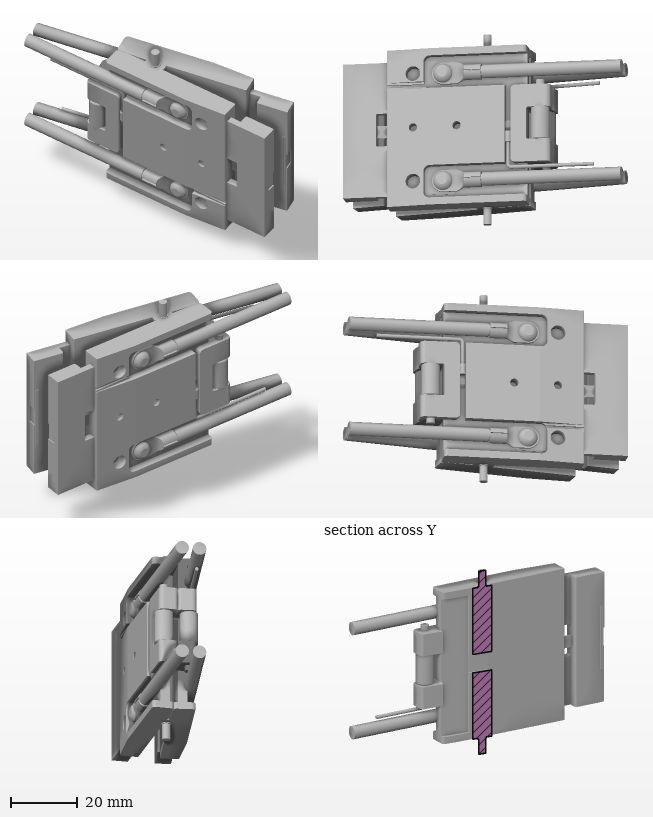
import cadquery as cq
import math


OPEN_ANGLE = 5.0
SIN = math.sin(math.radians(OPEN_ANGLE))
COS = math.cos(math.radians(OPEN_ANGLE))

HALF_THICKNESS = 9.0
CABLE_END_X = -42.15
TIP_END_X = 42.83
PIN_HALF_LENGTH = 29.1

OVERLAP = 1.0

BODY_HALF_HEIGHT = 24.0
BODY_REAR_X = -13.0
BODY_FRONT_X = 29.4
OUTER_DEPTH = 7.65
JAW_INNER_DEPTH = 0.75
HANDLE_GAP = 0.04
RELIEF_START_X = -9.0
RELIEF_END_X = -3.0
RELIEF_DEPTH = 0.6
REAR_CORNER_RADIUS = 1.1
FRONT_CORNER_RADIUS = 0.3
REAR_INNER_RADIUS = 0.9

RIM_THICKNESS = 2.2
POCKET_TOP_Z = BODY_HALF_HEIGHT - RIM_THICKNESS
PLATE_HALF_HEIGHT = 11.85
FLOOR_DEPTH = 5.2
POCKET_FRONT_X = 18.2
POCKET_RADIUS = 1.9
PAD_REAR_X = 8.7
PAD_TOP_Z = 20.5
PAD_HEIGHT = 0.15
PAD_RADIUS = 0.7

HOLLOW_HALF_WIDTH = 1.2
HOLLOW_FRONT_X = -4.0
WINDOW_HALF_WIDTH = 0.95
WINDOW_HALF_HEIGHT = 2.85

BLOCK_REAR_X = -20.1
BLOCK_FRONT_X = -8.25
BLOCK_DEPTH = 7.4
BLOCK_OUTER_RADIUS = 1.5
BLOCK_INNER_RADIUS = 1.1
BLOCK_CORNER_RADIUS = 1.3
NOTCH_HALF_HEIGHT = 4.95
NOTCH_RADIUS = 0.5
ROLLER_X = -16.85
ROLLER_DEPTH = 5.3
ROLLER_DIAMETER = 5.6
ROLLER_EDGE = 0.25
AXLE_DIAMETER = 2.6
AXLE_LOW_Z = -13.45
PLATE_REAR_X = -6.5

SMALL_HOLE_DIAMETER = 2.5
SMALL_HOLE_X = (8.1, 21.4)
LARGE_HOLE_DIAMETER = 4.5
LARGE_HOLE_X = 21.4
HOLE_BOTTOM_DEPTH = 4.0

CABLE_Z = 16.5
CABLE_DEPTH = 6.3
CABLE_DIAMETER = 4.05
CABLE_FRONT_X = 0.35
BARREL_REAR_X = 0.8
BARREL_FRONT_X = 5.9
BARREL_DEPTH = 6.17
BARREL_DIAMETER = 4.6
CORE_DIAMETER = 3.4
LUG_REAR_X = 8.3
LUG_WIDTH = 6.6
LUG_THICKNESS = 0.7
SCREW_X = 12.5
HEAD_DIAMETER = 5.7
HEAD_TOP_DIAMETER = 2.9
HEAD_HEIGHT = 1.7
HEAD_SHOULDER_RADIUS = 2.42
HEAD_SHOULDER_HEIGHT = 1.02
CRIMP_SLIT = 0.6

WIRE_DIAMETER = 1.1
WIRE_DEPTH = 6.2
WIRE_REAR_X = -33.3
WIRE_Z = 13.15
WIRE_DROP_X = -7.3
WIRE_BEND_RADIUS = 1.0
SLEEVE_TOP_Z = 5.4
SLEEVE_BOTTOM_Z = 2.15
SLEEVE_DIAMETER = 2.1
STUD_TOP_DIAMETER = 1.95
STUD_BASE_DIAMETER = 3.9
STUD_HEIGHT = 0.9

GROOVE_TOP_Z = -PLATE_HALF_HEIGHT
GROOVE_WIDTH = 2.1
GROOVE_DEPTH = 6.3
CHANNEL_WIDTH = 0.8
CHANNEL_DEPTH = 5.7

JAW_HALF_HEIGHT = 20.55
JAW_FRONT_X = 42.9
JAW_OUTER_DEPTH = 5.28
JAW_SPLIT_DEPTH = 3.25
JAW_ROOT_X = 25.0
PAD_BLOCK_REAR_X = 32.95
PAD_BLOCK_DEPTH = 0.35
PAD_BLOCK_RADIUS = 0.5
SLOT_HALF_HEIGHT = 5.0
TIP_GAP_HALF_HEIGHT = 2.85
TIP_GAP_LENGTH = 0.3
TONGUE_HALF_HEIGHT = 1.9
TONGUE_DEPTH = 2.2
TONGUE_THICKNESS = 0.4
LIP_THICKNESS = 0.35
RIDGE_X = (41.65, 42.3)
RIDGE_WIDTH = 0.2
RIDGE_HEIGHT = 0.4
RIDGE_HALF_LENGTH = 10.0

PIVOT_DIAMETER = 6.5
PIN_DIAMETER = 2.5
COLLAR_DIAMETER = 3.1
COLLAR_HEIGHT = 0.25


def box(x0, x1, depth0, depth1, z0, z1):
    """Box between two X, two depth and two Z limits."""
    block = cq.Workplane("XY").box(x1 - x0, depth1 - depth0, z1 - z0, centered=False)
    return block.translate((x0, -depth1, z0))


def face_plane(depth):
    """Sketch plane parallel to the outer face: local axes X and Z, extruding outwards."""
    return cq.Workplane("XZ", origin=(0, -depth, 0))


def rod_x(x0, x1, depth, z, diameter):
    return cq.Workplane("YZ", origin=(x0, -depth, z)).circle(diameter / 2).extrude(x1 - x0)


def rod_z(z0, z1, x, depth, diameter):
    return cq.Workplane("XY", origin=(x, -depth, z0)).circle(diameter / 2).extrude(z1 - z0)


def depth_at(x, opened_distance):
    """Depth at X of a plane lying at the given distance from the mid plane once opened."""
    return (opened_distance - x * SIN) / COS


def body_blank():
    bend_x = (HALF_THICKNESS - OUTER_DEPTH * COS) / SIN
    outline = [
        (BODY_REAR_X, OUTER_DEPTH),
        (bend_x, OUTER_DEPTH),
        (BODY_FRONT_X, depth_at(BODY_FRONT_X, HALF_THICKNESS)),
        (BODY_FRONT_X, JAW_INNER_DEPTH),
        (-RELIEF_END_X, JAW_INNER_DEPTH),
        (RELIEF_END_X, RELIEF_DEPTH),
        (RELIEF_START_X, depth_at(RELIEF_START_X, HANDLE_GAP)),
        (BODY_REAR_X, depth_at(BODY_REAR_X, HANDLE_GAP)),
    ]
    blank = (
        cq.Workplane("XY", origin=(0, 0, -BODY_HALF_HEIGHT))
        .polyline([(x, -depth) for x, depth in outline])
        .close()
        .extrude(2 * BODY_HALF_HEIGHT)
    )
    blank = blank.edges("|Z and >X").fillet(FRONT_CORNER_RADIUS)
    blank = blank.edges("|Z and <X").edges("<Y").fillet(REAR_CORNER_RADIUS)
    return blank.edges("|Z and <X").edges(">Y").fillet(REAR_INNER_RADIUS)


def handle_hollow():
    corners = [
        (BODY_REAR_X, 0),
        (HOLLOW_FRONT_X, 0),
        (HOLLOW_FRONT_X, depth_at(HOLLOW_FRONT_X, HOLLOW_HALF_WIDTH)),
        (BODY_REAR_X, depth_at(BODY_REAR_X, HOLLOW_HALF_WIDTH)),
    ]
    return (
        cq.Workplane("XY", origin=(0, 0, -POCKET_TOP_Z))
        .polyline([(x, -depth) for x, depth in corners])
        .close()
        .extrude(2 * POCKET_TOP_Z)
    )


def terminal_pocket(side):
    """Pocket open at the rear, above (side = 1) or below (side = -1) the middle plate."""
    rear_x = BODY_REAR_X - OVERLAP
    pocket = box(rear_x, POCKET_FRONT_X, FLOOR_DEPTH, HALF_THICKNESS, PLATE_HALF_HEIGHT, POCKET_TOP_Z)
    pocket = pocket.edges("|Y and >X").fillet(POCKET_RADIUS)
    pad = box(PAD_REAR_X, POCKET_FRONT_X, FLOOR_DEPTH, FLOOR_DEPTH + PAD_HEIGHT, PLATE_HALF_HEIGHT, PAD_TOP_Z)
    pad = pad.edges("|Y and <X and >Z").fillet(PAD_RADIUS)
    pocket = pocket.cut(pad)
    return pocket if side > 0 else pocket.mirror("XY")


def handle_block():
    inner_rear = depth_at(BLOCK_REAR_X, HANDLE_GAP)
    inner_front = depth_at(BODY_REAR_X, HANDLE_GAP)
    inner_hollow = depth_at(BODY_REAR_X, HOLLOW_HALF_WIDTH)
    outline = [
        (BLOCK_REAR_X, BLOCK_DEPTH),
        (BLOCK_FRONT_X, BLOCK_DEPTH),
        (BLOCK_FRONT_X, inner_hollow),
        (BODY_REAR_X, inner_hollow),
        (BODY_REAR_X, inner_front),
        (BLOCK_REAR_X, inner_rear),
    ]
    block = (
        cq.Workplane("XY", origin=(0, 0, -PLATE_HALF_HEIGHT))
        .polyline([(x, -depth) for x, depth in outline])
        .close()
        .extrude(2 * PLATE_HALF_HEIGHT)
    )
    block = block.edges("|Y and >X").fillet(BLOCK_CORNER_RADIUS)
    block = block.edges("|Z and <X").edges("<Y").fillet(BLOCK_OUTER_RADIUS)
    block = block.edges("|Z and <X").edges(">Y").fillet(BLOCK_INNER_RADIUS)
    rear_x = BLOCK_REAR_X - OVERLAP
    notch = box(rear_x, BODY_REAR_X, 0, HALF_THICKNESS, -NOTCH_HALF_HEIGHT, NOTCH_HALF_HEIGHT)
    return block.cut(notch.edges("|Y and >X").fillet(NOTCH_RADIUS))


def roller_and_axle():
    roller = rod_z(-NOTCH_HALF_HEIGHT, NOTCH_HALF_HEIGHT, ROLLER_X, ROLLER_DEPTH, ROLLER_DIAMETER)
    roller = roller.faces("|Z").edges().chamfer(ROLLER_EDGE)
    return roller.union(rod_z(AXLE_LOW_Z, PLATE_HALF_HEIGHT, ROLLER_X, ROLLER_DEPTH, AXLE_DIAMETER))


def outer_face_holes():
    hole_length = HALF_THICKNESS - HOLE_BOTTOM_DEPTH
    small = (
        face_plane(HOLE_BOTTOM_DEPTH)
        .pushPoints([(x, 0) for x in SMALL_HOLE_X])
        .circle(SMALL_HOLE_DIAMETER / 2)
        .extrude(hole_length)
    )
    large = (
        face_plane(HOLE_BOTTOM_DEPTH)
        .pushPoints([(LARGE_HOLE_X, CABLE_Z), (LARGE_HOLE_X, -CABLE_Z)])
        .circle(LARGE_HOLE_DIAMETER / 2)
        .extrude(hole_length)
    )
    return small.union(large)


def jaw_groove():
    """Stepped groove from the lower pocket to the front end of the body."""
    center_z = GROOVE_TOP_Z - GROOVE_WIDTH / 2
    rear_x = POCKET_FRONT_X - POCKET_RADIUS
    steps = ((GROOVE_WIDTH, GROOVE_DEPTH), (CHANNEL_WIDTH, CHANNEL_DEPTH))
    groove = cq.Workplane("XY")
    for width, depth in steps:
        groove = groove.union(
            box(rear_x, BODY_FRONT_X, depth, HALF_THICKNESS, center_z - width / 2, center_z + width / 2)
        )
    return groove


def body():
    part = body_blank().cut(handle_hollow())
    for side in (1, -1):
        part = part.cut(terminal_pocket(side))
    rear_x = BODY_REAR_X - OVERLAP
    part = part.cut(
        box(rear_x, PLATE_REAR_X, FLOOR_DEPTH, HALF_THICKNESS, -PLATE_HALF_HEIGHT, PLATE_HALF_HEIGHT)
    )
    part = part.cut(outer_face_holes())
    part = part.cut(jaw_groove())
    return part.union(handle_block()).union(roller_and_axle())


def cable(z):
    """Cable with its crimped terminal and fixing screw."""
    lug_depth = FLOOR_DEPTH + PAD_HEIGHT
    rear_x = (CABLE_END_X - CABLE_DIAMETER) / COS
    part = rod_x(rear_x, CABLE_FRONT_X, CABLE_DEPTH, z, CABLE_DIAMETER)
    part = part.union(rod_x(CABLE_FRONT_X, BARREL_REAR_X, CABLE_DEPTH, z, CORE_DIAMETER))
    part = part.union(rod_x(BARREL_REAR_X, BARREL_FRONT_X, BARREL_DEPTH, z, BARREL_DIAMETER))
    slit_floor = BARREL_DEPTH + BARREL_DIAMETER / 2 - CRIMP_SLIT
    part = part.cut(
        box(BARREL_REAR_X, BARREL_FRONT_X, slit_floor, HALF_THICKNESS, z - CRIMP_SLIT / 2, z + CRIMP_SLIT / 2)
    )
    neck = (
        cq.Workplane("YZ", origin=(BARREL_FRONT_X, -BARREL_DEPTH, z))
        .circle(BARREL_DIAMETER / 2)
        .workplane(offset=LUG_REAR_X - BARREL_FRONT_X)
        .center(BARREL_DEPTH - lug_depth - LUG_THICKNESS / 2, 0)
        .rect(LUG_THICKNESS, LUG_WIDTH)
        .loft(ruled=True)
    )
    hollow_radius = LUG_REAR_X - BARREL_FRONT_X
    hollow_depth = lug_depth + LUG_THICKNESS + hollow_radius
    neck = neck.cut(rod_z(z - LUG_WIDTH, z + LUG_WIDTH, LUG_REAR_X, hollow_depth, 2 * hollow_radius))
    lug = box(LUG_REAR_X, SCREW_X, lug_depth, lug_depth + LUG_THICKNESS, z - LUG_WIDTH / 2, z + LUG_WIDTH / 2)
    ring = face_plane(lug_depth).center(SCREW_X, z).circle(LUG_WIDTH / 2).extrude(LUG_THICKNESS)
    head_rim = (HEAD_TOP_DIAMETER / 2, HEAD_HEIGHT)
    shoulder = (HEAD_SHOULDER_RADIUS, HEAD_SHOULDER_HEIGHT)
    head = (
        cq.Workplane("XY")
        .moveTo(0, 0)
        .lineTo(HEAD_DIAMETER / 2, 0)
        .threePointArc(shoulder, head_rim)
        .lineTo(0, HEAD_HEIGHT)
        .close()
        .revolve(360, (0, 0, 0), (0, 1, 0))
        .rotate((0, 0, 0), (0, 0, 1), 180)
        .translate((SCREW_X, -lug_depth - LUG_THICKNESS, z))
    )
    return part.union(neck).union(lug).union(ring).union(head)


def sensor_wire():
    """Thin wire along the handle, bent down behind the middle plate to a sleeve beside a conical stud."""
    bend_start = (WIRE_DROP_X - WIRE_BEND_RADIUS, WIRE_Z)
    bend_mid = (
        WIRE_DROP_X - WIRE_BEND_RADIUS * (1 - math.sqrt(0.5)),
        WIRE_Z - WIRE_BEND_RADIUS * (1 - math.sqrt(0.5)),
    )
    bend_end = (WIRE_DROP_X, WIRE_Z - WIRE_BEND_RADIUS)
    path = (
        face_plane(WIRE_DEPTH)
        .moveTo(WIRE_REAR_X, WIRE_Z)
        .lineTo(*bend_start)
        .threePointArc(bend_mid, bend_end)
        .lineTo(WIRE_DROP_X, SLEEVE_TOP_Z)
    )
    wire = cq.Workplane("YZ", origin=(WIRE_REAR_X, -WIRE_DEPTH, WIRE_Z)).circle(WIRE_DIAMETER / 2).sweep(path)
    sleeve = rod_z(SLEEVE_BOTTOM_Z, SLEEVE_TOP_Z, WIRE_DROP_X, WIRE_DEPTH, SLEEVE_DIAMETER)
    stud = (
        face_plane(FLOOR_DEPTH)
        .center(WIRE_DROP_X, 0)
        .circle(STUD_BASE_DIAMETER / 2)
        .workplane(offset=STUD_HEIGHT)
        .circle(STUD_TOP_DIAMETER / 2)
        .loft()
    )
    return wire.union(sleeve).union(stud)


def jaw():
    plate = box(JAW_ROOT_X, JAW_FRONT_X, JAW_SPLIT_DEPTH, JAW_OUTER_DEPTH, -JAW_HALF_HEIGHT, JAW_HALF_HEIGHT)
    slot = box(JAW_ROOT_X, PAD_BLOCK_REAR_X, 0, HALF_THICKNESS, -SLOT_HALF_HEIGHT, SLOT_HALF_HEIGHT)
    plate = plate.cut(slot.edges("|Y and >X").fillet(NOTCH_RADIUS))
    pad = box(
        PAD_BLOCK_REAR_X, JAW_FRONT_X, PAD_BLOCK_DEPTH, JAW_SPLIT_DEPTH, -JAW_HALF_HEIGHT, JAW_HALF_HEIGHT
    )
    pad = pad.edges("|Z and <X and >Y").fillet(PAD_BLOCK_RADIUS)
    pad = pad.cut(
        box(
            JAW_FRONT_X - TIP_GAP_LENGTH,
            JAW_FRONT_X,
            0,
            JAW_SPLIT_DEPTH,
            -TIP_GAP_HALF_HEIGHT,
            TIP_GAP_HALF_HEIGHT,
        )
    )
    tongue = box(
        JAW_ROOT_X,
        PAD_BLOCK_REAR_X + OVERLAP,
        TONGUE_DEPTH,
        TONGUE_DEPTH + TONGUE_THICKNESS,
        -TONGUE_HALF_HEIGHT,
        TONGUE_HALF_HEIGHT,
    )
    part = plate.union(pad).union(tongue)
    for x in RIDGE_X:
        part = part.union(
            box(
                x - RIDGE_WIDTH / 2,
                x + RIDGE_WIDTH / 2,
                PAD_BLOCK_DEPTH - RIDGE_HEIGHT,
                JAW_SPLIT_DEPTH,
                -RIDGE_HALF_LENGTH,
                RIDGE_HALF_LENGTH,
            )
        )
    return part


def tip_lip():
    """Thin lip on the tip of the gripping pad, found on the back half only."""
    lip_depth = PAD_BLOCK_DEPTH + LIP_THICKNESS
    lip_end_x = (TIP_END_X + PAD_BLOCK_DEPTH * SIN) / COS
    return box(
        PAD_BLOCK_REAR_X + OVERLAP,
        lip_end_x,
        PAD_BLOCK_DEPTH,
        lip_depth,
        -JAW_HALF_HEIGHT,
        -TIP_GAP_HALF_HEIGHT,
    )


def opened(shape):
    return shape.rotate((0, 0, 0), (0, 0, 1), -OPEN_ANGLE)


def clamp_half():
    half = body().union(jaw()).union(sensor_wire())
    for z in (CABLE_Z, -CABLE_Z):
        half = half.union(cable(z))
    half = opened(half)
    trim = box(
        CABLE_END_X - 2 * CABLE_DIAMETER,
        CABLE_END_X,
        0,
        HALF_THICKNESS,
        -BODY_HALF_HEIGHT,
        BODY_HALF_HEIGHT,
    )
    return half.cut(trim)


def pivot():
    """Hinge barrel, collar and pin, one set at each end."""
    part = rod_z(WINDOW_HALF_HEIGHT, BODY_HALF_HEIGHT, 0, 0, PIVOT_DIAMETER)
    part = part.union(rod_z(BODY_HALF_HEIGHT, BODY_HALF_HEIGHT + COLLAR_HEIGHT, 0, 0, COLLAR_DIAMETER))
    part = part.union(rod_z(BODY_HALF_HEIGHT, PIN_HALF_LENGTH, 0, 0, PIN_DIAMETER))
    return part.union(part.mirror("XY"))


def center_window():
    """Opening between the halves, running past the pivot at mid height."""
    return box(
        BODY_REAR_X,
        PIVOT_DIAMETER,
        -WINDOW_HALF_WIDTH,
        WINDOW_HALF_WIDTH,
        -WINDOW_HALF_HEIGHT,
        WINDOW_HALF_HEIGHT,
    )


front_half = clamp_half()
back_half = front_half.union(opened(tip_lip())).rotate((0, 0, 0), (1, 0, 0), 180)
result = front_half.union(back_half).union(pivot()).cut(center_window())